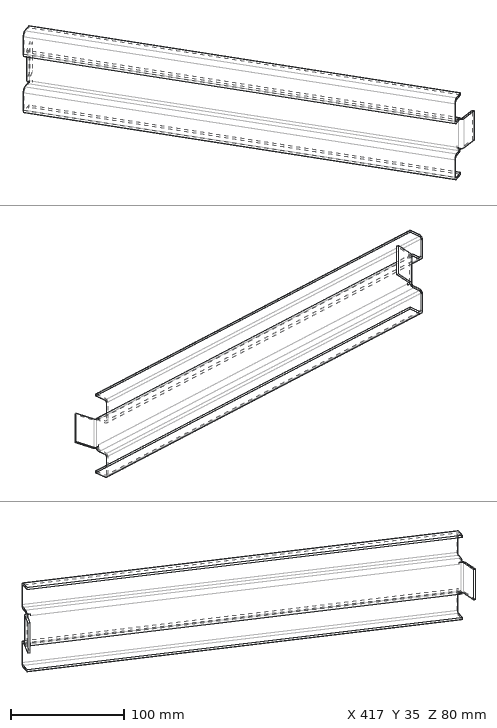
import cadquery as cq
import math

total_length = 417.0
total_depth = 35.0
total_height = 80.0

thickness = 2.0
inner_radius = 2.0
middle_radius = inner_radius + thickness / 2
outer_radius = inner_radius + thickness

channel_length = 405.5
channel_depth = 15.0
groove_height = 30.0

tab_height = 28.8
tab_flare = 10.0
tab_bend = 90.0 - tab_flare

front_y = -total_depth / 2
web_y = front_y + channel_depth - thickness / 2
tip_y = total_depth / 2


def bent_strip(plane, path):
    """Sheet outline of constant thickness along a middle line, rounded at every corner."""
    half = thickness / 2
    points = [cq.Vector(*point) for point in path]
    directions = [(end - start).normalized() for start, end in zip(points, points[1:])]
    normals = [cq.Vector(-d.y, d.x) for d in directions]

    def side(offset):
        """Start point, (bend start, bend middle, bend end) triples, and end point of one face."""
        bends = []
        for i in range(1, len(points) - 1):
            before, after = normals[i - 1], normals[i]
            turn = math.copysign(1, directions[i - 1].cross(directions[i]).z)
            bisector = (before + after).normalized()
            center = points[i] + bisector * (turn * middle_radius / bisector.dot(before))
            reach = offset - turn * middle_radius
            bends.append([center + n * reach for n in (before, bisector, after)])
        return points[0] + normals[0] * offset, bends, points[-1] + normals[-1] * offset

    left_start, left_bends, left_end = side(half)
    right_start, right_bends, right_end = side(-half)
    outline = cq.Workplane(plane).moveTo(left_start.x, left_start.y)
    for start, middle, end in left_bends:
        outline = outline.lineTo(start.x, start.y)
        outline = outline.threePointArc((middle.x, middle.y), (end.x, end.y))
    outline = outline.lineTo(left_end.x, left_end.y).lineTo(right_end.x, right_end.y)
    for end, middle, start in reversed(right_bends):
        outline = outline.lineTo(start.x, start.y)
        outline = outline.threePointArc((middle.x, middle.y), (end.x, end.y))
    return outline.lineTo(right_start.x, right_start.y).close()


def make_channel():
    """Hat-shaped channel with a recessed web, two front flanges and two return lips."""
    lip_end_y = front_y + channel_depth
    flange_y = front_y + thickness / 2
    lip_z = (total_height - thickness) / 2
    wall_z = (groove_height + thickness) / 2
    upper = [(lip_end_y, lip_z), (flange_y, lip_z), (flange_y, wall_z), (web_y, wall_z)]
    lower = [(y, -z) for y, z in reversed(upper)]
    return bent_strip("YZ", upper + lower).extrude(channel_length / 2, both=True)


flare = math.radians(tab_flare)
tip_x = total_length / 2 - thickness / 2 * math.cos(flare)
tip_middle_y = tip_y - thickness / 2 * math.sin(flare)
corner_x = tip_x - (tip_middle_y - web_y) * math.tan(flare)
web_end_x = corner_x - middle_radius * math.tan(math.radians(tab_bend) / 2)


def make_tab():
    """Tab on the +X end, bent backward from the end of the web."""
    overlap = outer_radius / 2
    path = [(web_end_x - overlap, web_y), (corner_x, web_y), (tip_x, tip_middle_y)]
    return bent_strip("XY", path).extrude(tab_height / 2, both=True)


def make_web_relief():
    """Clears the channel end where the +X tab starts to bend."""
    relief_length = channel_length / 2 - web_end_x
    relief_center = (channel_length / 2 + web_end_x) / 2
    return cq.Workplane("XY").box(relief_length, total_depth, tab_height).translate((relief_center, 0, 0))


channel = make_channel()
relief = make_web_relief()
tab = make_tab()
channel = channel.cut(relief).cut(relief.mirror("YZ"))
result = channel.union(tab).union(tab.mirror("YZ"))